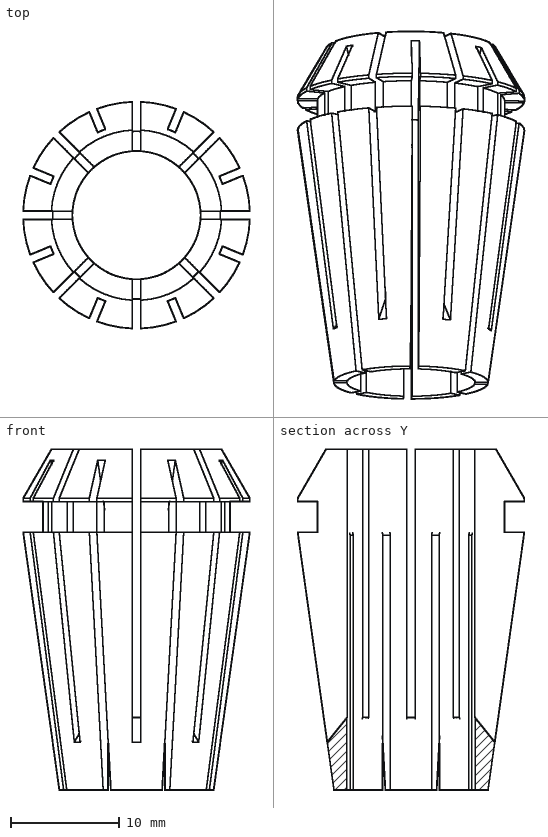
import cadquery as cq
import math

length = 31.5
outer_radius = 10.5
bore_radius = 5.92

shoulder_z = 23.85
body_half_angle = 8.0
body_tan = math.tan(math.radians(body_half_angle))
base_radius = outer_radius - shoulder_z * body_tan

groove_radius = 8.65
rim_bottom_z = 26.65
rim_top_z = 26.95
nose_half_angle = 30.0
nose_tan = math.tan(math.radians(nose_half_angle))
nose_top_radius = outer_radius - (length - rim_top_z) * nose_tan

slits_per_end = 8
slit_pitch = 360.0 / slits_per_end
slit_width = 0.75
clearance = 1.58

top_slit_outer_z = 4.4
top_slit_bore_z = 6.7
top_slit_outer_radius = base_radius + top_slit_outer_z * body_tan

bottom_slit_outer_z = 30.5
bottom_slit_bore_z = 23.55
bottom_slit_outer_radius = nose_top_radius + (length - bottom_slit_outer_z) * nose_tan


def sleeve():
    """Revolve the half section, given as (radius, z), about the Z axis."""
    section = [
        (bore_radius, 0),
        (base_radius, 0),
        (outer_radius, shoulder_z),
        (groove_radius, shoulder_z),
        (groove_radius, rim_bottom_z),
        (outer_radius, rim_bottom_z),
        (outer_radius, rim_top_z),
        (nose_top_radius, length),
        (bore_radius, length),
    ]
    return cq.Workplane("XZ").polyline(section).close().revolve(360, (0, 0), (0, 1))


def slit_cutter(surface_radius, surface_z, bore_z, open_z):
    """Radial blade along +X, sloping from (surface_radius, surface_z) to the bore at bore_z."""
    slope = (bore_z - surface_z) / (bore_radius - surface_radius)
    inner_radius = bore_radius - clearance
    far_radius = outer_radius + clearance
    profile = [
        (inner_radius, bore_z - slope * clearance),
        (far_radius, surface_z + slope * (far_radius - surface_radius)),
        (far_radius, open_z),
        (inner_radius, open_z),
    ]
    return cq.Workplane("XZ").polyline(profile).close().extrude(slit_width / 2, both=True)


def cut_slits(body, cutter, first_angle):
    """Cut one ring of equally spaced slits."""
    for i in range(slits_per_end):
        angle = first_angle + i * slit_pitch
        body = body.cut(cutter.rotate((0, 0, 0), (0, 0, 1), angle))
    return body


top_slit = slit_cutter(top_slit_outer_radius, top_slit_outer_z, top_slit_bore_z, length + clearance)
bottom_slit = slit_cutter(bottom_slit_outer_radius, bottom_slit_outer_z, bottom_slit_bore_z, -clearance)

result = cut_slits(sleeve(), top_slit, 0)
result = cut_slits(result, bottom_slit, slit_pitch / 2)